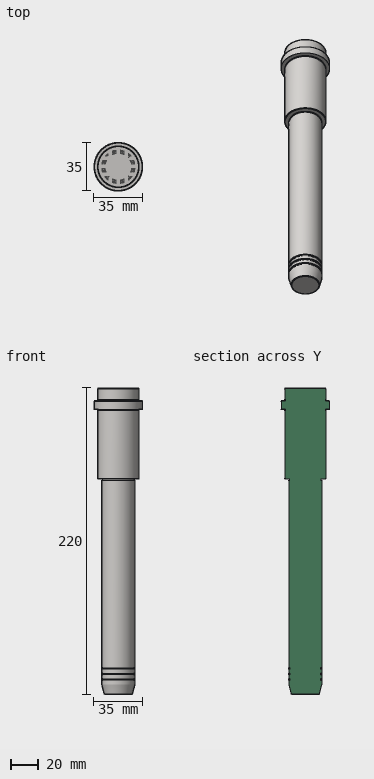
import cadquery as cq

TOTAL_LENGTH = 220.0
HEAD_LENGTH = 65.3
FLANGE_TOP_DEPTH = 9.0
FLANGE_HEIGHT = 6.2
NOSE_LENGTH = 7.0

FLANGE_DIAMETER = 35.0
HEAD_DIAMETER = 30.0
SHANK_DIAMETER = 24.0
FLANGE_RADIUS = FLANGE_DIAMETER / 2
HEAD_RADIUS = HEAD_DIAMETER / 2
SHANK_RADIUS = SHANK_DIAMETER / 2
NOSE_TIP_RADIUS = 10.1

FLANGE_CHAMFER = 0.5
HEAD_CHAMFER = 0.5
NOSE_CHAMFER = 0.5

RELIEF_WIDTH = 0.9
RELIEF_DEPTH = 0.5

GROOVE_COUNT = 3
GROOVE_WIDTH = 0.9
GROOVE_DEPTH = 0.9
GROOVE_PITCH = 4.0
LOWEST_GROOVE_Z = 10.3

HEAD_BOTTOM = TOTAL_LENGTH - HEAD_LENGTH
FLANGE_TOP = TOTAL_LENGTH - FLANGE_TOP_DEPTH
FLANGE_BOTTOM = FLANGE_TOP - FLANGE_HEIGHT


def cylinder(radius, bottom, height):
    """Upright cylinder on the Z axis."""
    return cq.Workplane("XY").workplane(offset=bottom).circle(radius).extrude(height)


def ring(outer_radius, depth, bottom, width):
    """Ring that cuts a square groove of the given depth."""
    return cylinder(outer_radius, bottom, width).cut(cylinder(outer_radius - depth, bottom, width))


def make_nose():
    """Tapered tip that leads into the shank."""
    return (
        cq.Workplane("XZ")
        .lineTo(NOSE_TIP_RADIUS, 0)
        .lineTo(SHANK_RADIUS, NOSE_LENGTH)
        .lineTo(0, NOSE_LENGTH)
        .close()
        .revolve(360, (0, 0, 0), (0, 1, 0))
        .faces("<Z")
        .chamfer(NOSE_CHAMFER)
    )


def make_shank():
    """Guide shank with a relief under the head and narrow grooves above the nose."""
    shank = cylinder(SHANK_RADIUS, NOSE_LENGTH, HEAD_BOTTOM - NOSE_LENGTH)
    shank = shank.cut(ring(SHANK_RADIUS, RELIEF_DEPTH, HEAD_BOTTOM - RELIEF_WIDTH, RELIEF_WIDTH))
    for index in range(GROOVE_COUNT):
        bottom = LOWEST_GROOVE_Z + index * GROOVE_PITCH
        shank = shank.cut(ring(SHANK_RADIUS, GROOVE_DEPTH, bottom, GROOVE_WIDTH))
    return shank


def make_head():
    """Thick upper body with both ends chamfered and a relief on each side of the flange."""
    head = cylinder(HEAD_RADIUS, HEAD_BOTTOM, HEAD_LENGTH).faces("<Z or >Z").chamfer(HEAD_CHAMFER)
    for bottom in (FLANGE_TOP, FLANGE_BOTTOM - RELIEF_WIDTH):
        head = head.cut(ring(HEAD_RADIUS, RELIEF_DEPTH, bottom, RELIEF_WIDTH))
    return head


def make_flange():
    """Collar with a chamfered upper edge."""
    flange = cylinder(FLANGE_RADIUS, FLANGE_BOTTOM, FLANGE_HEIGHT)
    return flange.faces(">Z").chamfer(FLANGE_CHAMFER)


result = make_nose().union(make_shank()).union(make_head()).union(make_flange())